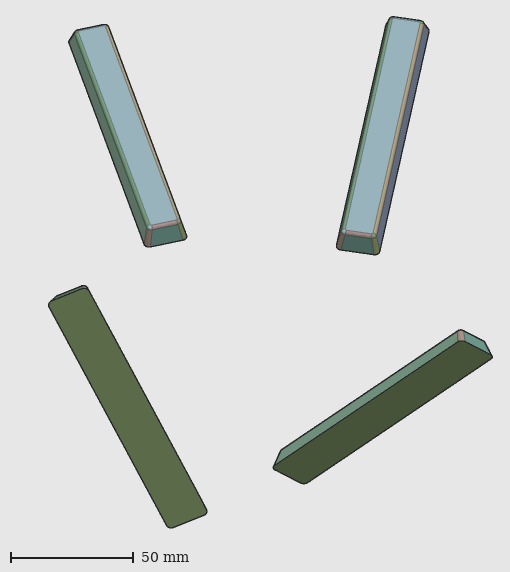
import cadquery as cq

length = 118.0
width = 18.0
height = 8.5

end_lean = 3.0
side_lean = 2.0

base_corner_radius = 2.1
top_corner_radius = 1.8

rim_radius = 1.7


def rounded_rectangle(size_x, size_y, corner_radius):
    """Sketch of a centred rectangle with rounded corners."""
    return cq.Sketch().rect(size_x, size_y).vertices().fillet(corner_radius)


def tapered_block():
    """Solid block with flat leaning sides and cone-like corners."""
    base = rounded_rectangle(length, width, base_corner_radius)
    top = rounded_rectangle(
        length - 2 * end_lean,
        width - 2 * side_lean,
        top_corner_radius,
    )
    top = top.moved(cq.Location(cq.Vector(0, 0, height)))
    return cq.Workplane("XY").placeSketch(base, top).loft(ruled=True)


def round_rim(block):
    """Round the edge around the top face."""
    return block.faces(">Z").edges().fillet(rim_radius)


result = round_rim(tapered_block())